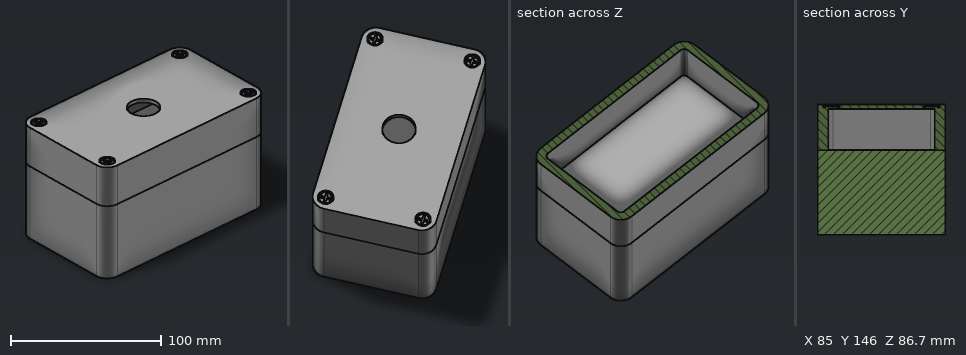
import cadquery as cq

width = 85.0
length = 146.0
total_height = 86.7
corner_radius = 10.0

lid_height = 30.2
lid_top_thickness = 3.0
lid_wall_thickness = 6.9
button_hole_diameter = 22.3

screw_spacing_x = 67.0
screw_spacing_y = 128.0
screw_recess_diameter = 10.5
screw_recess_depth = 2.0
screw_head_diameter = 8.5
screw_head_drop = 0.7
cross_length = 5.8
cross_width = 1.5
cross_depth = 0.5

base_height = total_height - lid_height
cavity_height = lid_height - lid_top_thickness
screw_head_height = screw_recess_depth - screw_head_drop
screw_head_top = total_height - screw_head_drop


def rounded_block(size_x, size_y, height, radius, bottom):
    """Block with rounded vertical edges, standing on the level 'bottom'."""
    return (
        cq.Workplane("XY", origin=(0, 0, bottom))
        .rect(size_x, size_y)
        .extrude(height)
        .edges("|Z")
        .fillet(radius)
    )


def screw_pattern(level):
    """The four corner screw positions on a horizontal plane."""
    return cq.Workplane("XY", origin=(0, 0, level)).rarray(screw_spacing_x, screw_spacing_y, 2, 2)


def make_base():
    """Lower block, whose flat top closes the lid cavity."""
    return rounded_block(width, length, base_height, corner_radius, 0)


def add_screw_heads(lid):
    """Sink a round recess in each corner, with a cross-slotted head inside it."""
    recesses = screw_pattern(total_height).circle(screw_recess_diameter / 2).extrude(-screw_recess_depth)
    heads = screw_pattern(screw_head_top).circle(screw_head_diameter / 2).extrude(-screw_head_height)
    lid = lid.cut(recesses).union(heads)
    for slot_x, slot_y in ((cross_length, cross_width), (cross_width, cross_length)):
        slots = screw_pattern(screw_head_top).rect(slot_x, slot_y).extrude(-cross_depth)
        lid = lid.cut(slots)
    return lid


def make_lid():
    """Upper shell with a central button hole and four screw heads."""
    lid = rounded_block(width, length, lid_height, corner_radius, base_height)
    cavity = rounded_block(
        width - 2 * lid_wall_thickness,
        length - 2 * lid_wall_thickness,
        cavity_height,
        corner_radius - lid_wall_thickness,
        base_height,
    )
    button_hole = (
        cq.Workplane("XY", origin=(0, 0, total_height))
        .circle(button_hole_diameter / 2)
        .extrude(-lid_top_thickness)
    )
    return add_screw_heads(lid.cut(cavity).cut(button_hole))


base = make_base()
lid = make_lid()

result = cq.Compound.makeCompound([base.val(), *lid.vals()])